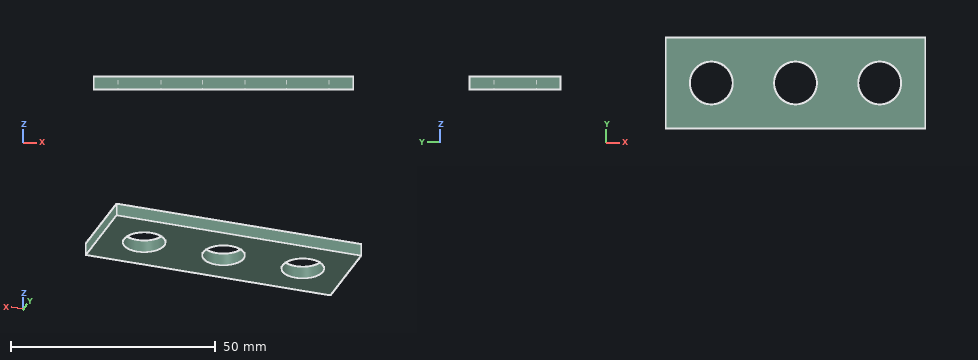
import cadquery as cq

length = 63.5
width = 22.35
thickness = 3.25

hole_diameter = 10.4
hole_count = 3
hole_pitch = 20.6

plate = cq.Workplane("XY").box(length, width, thickness)

result = (
    plate.faces(">Z")
    .workplane()
    .rarray(hole_pitch, width, hole_count, 1)
    .hole(hole_diameter)
)